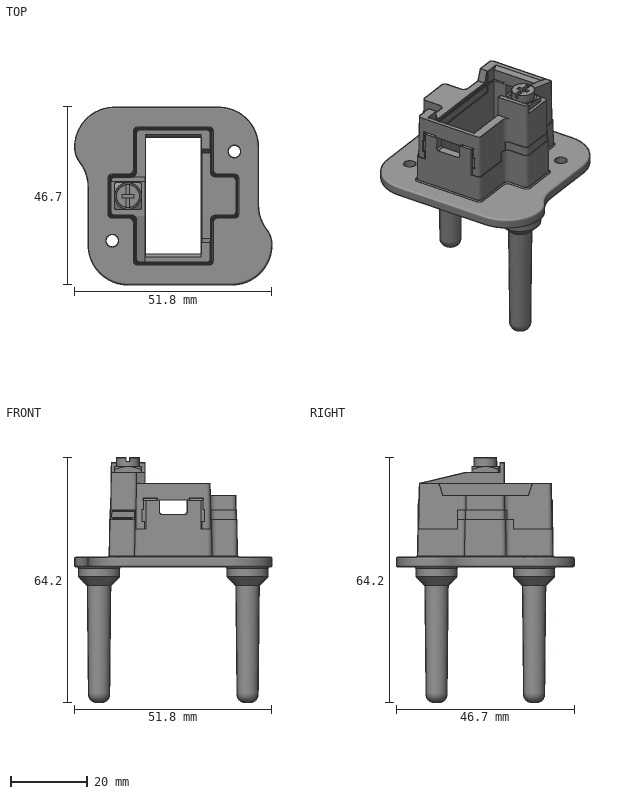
import cadquery as cq
import math

PLATE_X = 51.8
PLATE_Y = 46.65
PLATE_T = 2.6
PLATE_SIDE_X = 22.35
PLATE_CORNER_R = 10.55
LOBE_TIP_R = 6.4
PLATE_TOP_ROUND = 0.5
PLATE_BOTTOM_ROUND = 0.4
SCREW_HOLE_D = 3.2
SCREW_HOLE_AT = (16.0, 11.7)

TOTAL_Z = 64.25
TOP_Z = 28.65
LEG_TIP_Z = TOP_Z - TOTAL_Z
LEG_X = PLATE_X / 2 - LOBE_TIP_R
LEG_Y = PLATE_Y / 2 - PLATE_CORNER_R
COLLAR_R = 5.4
COLLAR_FLARE = 0.2
COLLAR_FLARE_Z = 0.45
COLLAR_BOTTOM_Z = -2.6
CONE_BOTTOM_Z = -4.95
LEG_TOP_R = 3.1
LEG_TIP_R = 2.75
LEG_TIP_ROUND = 2.25

BOX_HALF_X = 10.15
BOX_HALF_Y = 17.8
ARM_HALF_X = 16.8
ARM_HALF_Y = 5.45
DRAFT = 0.9
HOUSING_EDGE_R = 1.15
FOOT_FLARE = 0.3

BAND_INSET = 0.095
CAP_INSET = 0.2
BASE_END_Z = 9.9
BASE_MID_Z = 12.45
BASE_MID_HALF_Y = 7.3
BAND_TOP_Z = 14.85
BAND_Y = (-7.3, 5.7)

GROOVE_FACE_INSET = 0.1
GROOVE_DEPTH = 0.3
GROOVE_LOWER_SLOPE = 0.5
GROOVE_UPPER_SLOPE = 0.4
GROOVE_WALL_GAP = 0.05

RIM_Z = 21.85
SHELF_Z = 24.75
LIP_Z = 27.3
LIP_FRONT_Y = 3.8
TOWER_BACK_Y = 5.0
RAMP_START_Y = -5.25
RAMP_END_Y = -17.35
TOWER_INNER_X = -7.4
SHOULDER_Z = 18.75
SHOULDER_LOW_Z = 18.6
SHOULDER_SLOPE_Y = -4.95
NOTCH_BACK_Y = (11.3, 12.35)
NOTCH_FRONT_Y = (-11.1, -12.15)

OPENING_HALF_X = 7.25
OPENING_Y = (-15.15, 15.35)
RIM_FLARE_Y = 0.85
RIM_FLARE_Z = 1.0
LEDGE_W = 0.3
LEDGE_Z = 15.4

PANEL_HALF_X = 7.2
PANEL_TOP_Z = 17.5
SLOT_TOP_Z = 17.9
SLOT_INNER_X = 4.25
SLOT_OUTER_X = 7.85
WINDOW_HALF_X = 3.6
WINDOW_BOTTOM_Z = 13.75
WINDOW_CORNER = 0.45
GAP_DEPTH = 0.65
GAP_STEP_Z = 11.9
GAP_WIDE_X = 8.2
GAP_WIDE_TOP_Z = 15.0
GAP_FOOT_X = 7.5

SCREW_X = -11.9
CLAMP_SIDE = 7.05
CLAMP_TOP_Z = 26.35
CLAMP_CORNER_R = 0.5
CLAMP_CONE_R = 3.5
CLAMP_CONE_ANGLE = 30.0
HEAD_R = 3.0
DRIVE_W = 0.9
SLOT_DEPTH = 1.0
CROSS_LENGTH = 3.15
CROSS_DEPTH = 1.55

REACH = 64.25


def box(x_span, y_span, z_span):
    """Box between the two limits given for each axis."""
    size = [abs(span[1] - span[0]) for span in (x_span, y_span, z_span)]
    middle = tuple((span[0] + span[1]) / 2 for span in (x_span, y_span, z_span))
    return cq.Workplane("XY").box(*size).translate(middle)


def half_turn(solid):
    return solid.rotate((0, 0, 0), (0, 0, 1), 180)


def make_plate():
    half_x, half_y = PLATE_X / 2, PLATE_Y / 2
    hollow_r = PLATE_CORNER_R
    hollow_x = -PLATE_SIDE_X - hollow_r
    hollow_y = LEG_Y - math.sqrt((LOBE_TIP_R + hollow_r) ** 2 - (hollow_x + LEG_X) ** 2)
    lean = math.atan2(LEG_Y - hollow_y, -LEG_X - hollow_x)

    def around(x, y, r, angle):
        return (x + r * math.cos(angle), y + r * math.sin(angle))

    lobe_x = -half_x + PLATE_CORNER_R
    corner_x = -PLATE_SIDE_X + PLATE_CORNER_R
    lobe_top = (lobe_x, half_y)
    lobe_side = (-half_x, LEG_Y)
    lobe_middle = around(lobe_x, LEG_Y, PLATE_CORNER_R, math.radians(135))
    tip_middle = around(-LEG_X, LEG_Y, LOBE_TIP_R, math.pi + lean / 2)
    tip_end = around(-LEG_X, LEG_Y, LOBE_TIP_R, math.pi + lean)
    hollow_middle = around(hollow_x, hollow_y, hollow_r, lean / 2)
    hollow_end = (-PLATE_SIDE_X, hollow_y)
    corner_start = (-PLATE_SIDE_X, -LEG_Y)
    corner_middle = around(corner_x, -LEG_Y, PLATE_CORNER_R, math.radians(225))
    corner_end = (corner_x, -half_y)

    outline = cq.Workplane("XY").moveTo(*lobe_top)
    for turn in (1, -1):
        def turned(point):
            return (turn * point[0], turn * point[1])

        outline = (
            outline.threePointArc(turned(lobe_middle), turned(lobe_side))
            .threePointArc(turned(tip_middle), turned(tip_end))
            .threePointArc(turned(hollow_middle), turned(hollow_end))
            .lineTo(*turned(corner_start))
            .threePointArc(turned(corner_middle), turned(corner_end))
            .lineTo(-turn * lobe_top[0], -turn * lobe_top[1])
        )
    plate = outline.wire().extrude(PLATE_T)
    plate = plate.faces(">Z").edges().fillet(PLATE_TOP_ROUND)
    return plate.faces("<Z").edges().fillet(PLATE_BOTTOM_ROUND)


def make_leg():
    profile = [
        (0, PLATE_T / 2),
        (COLLAR_R, PLATE_T / 2),
        (COLLAR_R, 0),
        (COLLAR_R + COLLAR_FLARE, 0),
        (COLLAR_R, -COLLAR_FLARE_Z),
        (COLLAR_R, COLLAR_BOTTOM_Z),
        (LEG_TOP_R, CONE_BOTTOM_Z),
        (LEG_TIP_R, LEG_TIP_Z),
        (0, LEG_TIP_Z),
    ]
    leg = cq.Workplane("XZ").polyline(profile).close().revolve(360, (0, 0, 0), (0, 1, 0))
    leg = leg.faces("<Z").edges().fillet(LEG_TIP_ROUND)
    return leg.translate((-LEG_X, LEG_Y, 0))


def cross_prism(inset, height, draft):
    """Drafted cross-shaped block with rounded corners, standing on the plate."""
    box_x, box_y = BOX_HALF_X - inset, BOX_HALF_Y - inset
    arm_x, arm_y = ARM_HALF_X - inset, ARM_HALF_Y - inset
    quarter = [(arm_x, arm_y), (box_x, arm_y), (box_x, box_y)]
    outline = (
        quarter
        + [(-x, y) for x, y in reversed(quarter)]
        + [(-x, -y) for x, y in quarter]
        + [(x, -y) for x, y in reversed(quarter)]
    )
    straight = cq.Workplane("XY", origin=(0, 0, PLATE_T)).polyline(outline).close().extrude(height)
    rounded = straight.edges("|Z").fillet(HOUSING_EDGE_R).faces("<Z").wires().val()
    return cq.Workplane("XY").add(rounded).toPending().extrude(height, taper=draft)


def under_skyline(x_span, skyline):
    """Everything below a (Y, Z) skyline, between two X limits."""
    points = [(skyline[0][0], 0)] + skyline + [(skyline[-1][0], 0)]
    block = cq.Workplane("YZ").polyline(points).close().extrude(x_span[1] - x_span[0])
    return block.translate((x_span[0], 0, 0))


def housing_envelope():
    """Stepped top of the housing: tower and ramp at -X, level rim, notched shoulder at +X."""
    tower = under_skyline(
        (-REACH, TOWER_INNER_X),
        [
            (REACH, RIM_Z),
            (TOWER_BACK_Y, RIM_Z),
            (TOWER_BACK_Y, LIP_Z),
            (LIP_FRONT_Y, LIP_Z),
            (LIP_FRONT_Y, SHELF_Z),
            (RAMP_START_Y, SHELF_Z),
            (RAMP_END_Y, RIM_Z),
            (-REACH, RIM_Z),
        ],
    )
    rim = box((TOWER_INNER_X, OPENING_HALF_X), (-REACH, REACH), (0, RIM_Z))
    shoulder = under_skyline(
        (OPENING_HALF_X, REACH),
        [
            (REACH, RIM_Z),
            (NOTCH_BACK_Y[1], RIM_Z),
            (NOTCH_BACK_Y[0], SHOULDER_Z),
            (SHOULDER_SLOPE_Y, SHOULDER_Z),
            (NOTCH_FRONT_Y[0], SHOULDER_LOW_Z),
            (NOTCH_FRONT_Y[1], RIM_Z),
            (-REACH, RIM_Z),
        ],
    )
    return tower.union(rim).union(shoulder)


def make_housing():
    height = LIP_Z - PLATE_T
    everywhere = (-REACH, REACH)
    base_region = (
        box(everywhere, everywhere, (0, BASE_END_Z))
        .union(box(everywhere, (-BASE_MID_HALF_Y, BASE_MID_HALF_Y), (0, BASE_MID_Z)))
        .union(box((-PANEL_HALF_X, PANEL_HALF_X), everywhere, (0, PANEL_TOP_Z)))
    )
    band_region = box(everywhere, BAND_Y, (0, BAND_TOP_Z))
    cap = cross_prism(CAP_INSET, height, DRAFT)
    band = cross_prism(BAND_INSET, height, DRAFT).intersect(band_region)
    base = cross_prism(0, height, DRAFT).intersect(base_region)
    foot = cross_prism(-FOOT_FLARE, FOOT_FLARE, 45)
    return cap.union(band).union(base).union(foot).intersect(housing_envelope())


def tower_groove_cut():
    """Shallow groove with sloped edges across the -Y face of the tower, up to the box wall."""
    face_y = -ARM_HALF_Y + GROOVE_FACE_INSET
    floor_y = face_y + GROOVE_DEPTH
    profile = [
        (-BASE_MID_HALF_Y, BASE_MID_Z),
        (face_y, BASE_MID_Z),
        (floor_y, BASE_MID_Z + GROOVE_LOWER_SLOPE),
        (floor_y, BAND_TOP_Z - GROOVE_UPPER_SLOPE),
        (face_y, BAND_TOP_Z),
        (-BASE_MID_HALF_Y, BAND_TOP_Z),
    ]
    length = ARM_HALF_X - BOX_HALF_X + GROOVE_WALL_GAP
    groove = cq.Workplane("YZ").polyline(profile).close().extrude(length)
    return groove.translate((-ARM_HALF_X - GROOVE_WALL_GAP, 0, 0))


def opening_cut():
    front, back = OPENING_Y
    shaft = box((-OPENING_HALF_X, OPENING_HALF_X), OPENING_Y, (-REACH, REACH))
    flare = (
        cq.Workplane("YZ")
        .polyline(
            [
                (front, RIM_Z - RIM_FLARE_Z),
                (back, RIM_Z - RIM_FLARE_Z),
                (back + RIM_FLARE_Y, RIM_Z),
                (front - RIM_FLARE_Y, RIM_Z),
            ]
        )
        .close()
        .extrude(OPENING_HALF_X, both=True)
    )
    ledge = box(
        (OPENING_HALF_X, OPENING_HALF_X + LEDGE_W),
        (NOTCH_FRONT_Y[1], NOTCH_BACK_Y[1]),
        (LEDGE_Z, RIM_Z),
    )
    return shaft.union(flare).union(ledge)


def latch_cuts():
    """Window and slots through both end walls, and the gaps beside the latch panels."""
    through = (-REACH, REACH)
    window = box(
        (-WINDOW_HALF_X, WINDOW_HALF_X), through, (WINDOW_BOTTOM_Z, PANEL_TOP_Z)
    )
    cuts = window.faces("<Z").edges("|Y").chamfer(WINDOW_CORNER)
    for side in (-1, 1):
        slot_x = (side * SLOT_INNER_X, side * SLOT_OUTER_X)
        cuts = cuts.union(box(slot_x, through, (PANEL_TOP_Z, SLOT_TOP_Z)))
        for end in (-1, 1):
            gap_y = (end * (BOX_HALF_Y - CAP_INSET - GAP_DEPTH), end * REACH)
            gap_x = (side * PANEL_HALF_X, side * SLOT_OUTER_X)
            wide_x = (side * PANEL_HALF_X, side * GAP_WIDE_X)
            foot_x = (side * PANEL_HALF_X, side * GAP_FOOT_X)
            cuts = cuts.union(box(gap_x, gap_y, (GAP_WIDE_TOP_Z, SLOT_TOP_Z)))
            cuts = cuts.union(box(wide_x, gap_y, (GAP_STEP_Z, GAP_WIDE_TOP_Z)))
            cuts = cuts.union(box(foot_x, gap_y, (BASE_END_Z, GAP_STEP_Z)))
    return cuts


def make_terminal_screw():
    """Square clamp with its corners turned off conically, under a round combination-drive head."""
    half = CLAMP_SIDE / 2
    clamp = box((-half, half), (-half, half), (SHELF_Z - 0.65, CLAMP_TOP_Z))
    clamp = clamp.edges("|Z").fillet(CLAMP_CORNER_R)
    cone_drop = CLAMP_SIDE * math.tan(math.radians(CLAMP_CONE_ANGLE))
    cone = (
        cq.Workplane("XY", origin=(0, 0, CLAMP_TOP_Z))
        .circle(CLAMP_CONE_R)
        .workplane(offset=-cone_drop)
        .circle(CLAMP_CONE_R + CLAMP_SIDE)
        .loft(ruled=True)
    )
    head = cq.Workplane("XY", origin=(0, 0, SHELF_Z)).circle(HEAD_R).extrude(TOP_Z - SHELF_Z)
    drive = (-DRIVE_W / 2, DRIVE_W / 2)
    slot = box(drive, (-REACH, REACH), (TOP_Z - SLOT_DEPTH, TOP_Z))
    cross = box((-CROSS_LENGTH / 2, CROSS_LENGTH / 2), drive, (TOP_Z - CROSS_DEPTH, TOP_Z))
    screw = clamp.intersect(cone).union(head).cut(slot).cut(cross)
    return screw.translate((SCREW_X, 0, 0))


leg = make_leg()
screw_holes = (
    cq.Workplane("XY")
    .pushPoints([SCREW_HOLE_AT, (-SCREW_HOLE_AT[0], -SCREW_HOLE_AT[1])])
    .circle(SCREW_HOLE_D / 2)
    .extrude(PLATE_T)
)

result = (
    make_plate()
    .union(leg)
    .union(half_turn(leg))
    .union(make_housing())
    .cut(tower_groove_cut())
    .cut(opening_cut())
    .cut(latch_cuts())
    .cut(screw_holes)
    .union(make_terminal_screw())
)